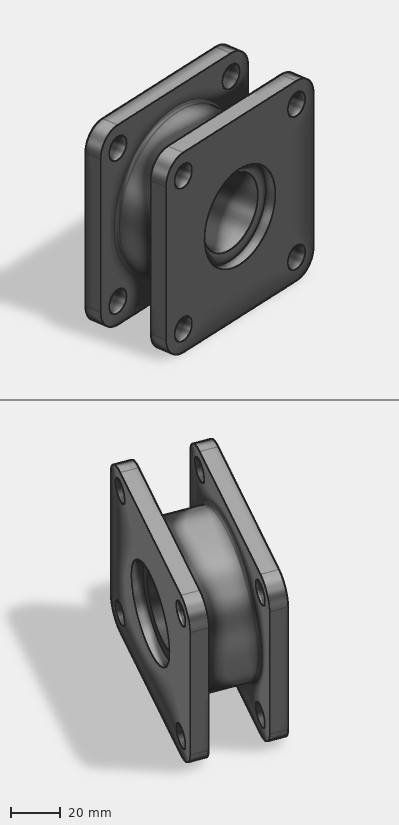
import cadquery as cq

flange_side = 94.0
overall_length = 42.0

flange_thickness = 8.0
corner_radius = 11.0
bolt_spacing = flange_side - 2 * corner_radius
bolt_hole_diameter = 11.0

body_diameter = 74.0
root_fillet = 1.5
bore_diameter = 35.0
counterbore_diameter = 45.0
counterbore_depth = 5.0


def make_flange(start_x):
    """Rounded square plate with four bolt holes, starting at start_x."""
    plate = (
        cq.Workplane("YZ", origin=(start_x, 0, 0))
        .rect(flange_side, flange_side)
        .extrude(flange_thickness)
        .edges("|X")
        .fillet(corner_radius)
    )
    return (
        plate.faces(">X")
        .workplane(centerOption="CenterOfBoundBox")
        .rect(bolt_spacing, bolt_spacing, forConstruction=True)
        .vertices()
        .hole(bolt_hole_diameter)
    )


def make_body():
    """Solid drum filling the gap between the flanges, flared at both ends."""
    radius = body_diameter / 2
    half_gap = overall_length / 2 - flange_thickness
    fillet_start = half_gap - root_fillet
    flare_radius = radius + root_fillet
    arc_offset = root_fillet * (1 - 0.5 ** 0.5)
    arc_x = half_gap - arc_offset
    arc_z = radius + arc_offset
    return (
        cq.Workplane("XZ")
        .moveTo(-half_gap, 0)
        .lineTo(-half_gap, flare_radius)
        .threePointArc((-arc_x, arc_z), (-fillet_start, radius))
        .lineTo(fillet_start, radius)
        .threePointArc((arc_x, arc_z), (half_gap, flare_radius))
        .lineTo(half_gap, 0)
        .close()
        .revolve(360, (0, 0, 0), (1, 0, 0))
    )


def make_cylinder(start_x, diameter, length):
    """Cylinder along X, centred on the part axis."""
    return cq.Workplane("YZ", origin=(start_x, 0, 0)).circle(diameter / 2).extrude(length)


left_face = -overall_length / 2
right_face = overall_length / 2

result = make_flange(left_face).union(make_body()).union(make_flange(right_face - flange_thickness))

result = result.cut(make_cylinder(left_face, bore_diameter, overall_length))
for start_x in (left_face, right_face - counterbore_depth):
    result = result.cut(make_cylinder(start_x, counterbore_diameter, counterbore_depth))